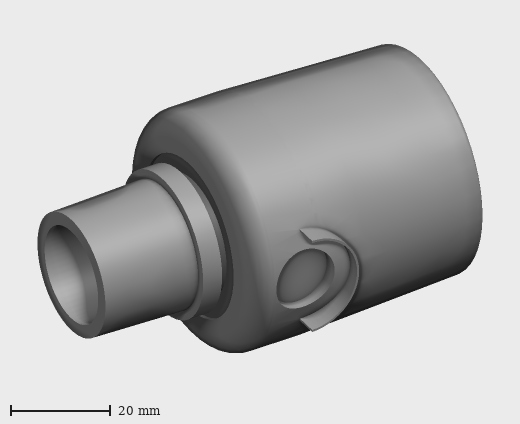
import cadquery as cq
import math

total_length = 81.9
flange_front = 21.3
flange_thickness = 4.4
body_front = 27.45
blend_start = 42.9
blend_end = 44.3

body_diameter = 51.5
body_radius = body_diameter / 2
back_radius = 24.25
front_fillet = 4.75
back_fillet = 1.0
recess_diameter = 34.9
recess_depth = 0.8

flange_diameter = 31.7
spigot_end_diameter = 26.6
spigot_base_diameter = 27.8
bore_diameter = 21.0
bore_depth = body_front

port_y = 39.3
port_diameter = 13.7
port_depth = 3.3
hood_radius = 11.0
hood_wall = 0.5
overall_width = 54.1
hood_end_x = overall_width - body_radius
hood_root_x = 22.1


def cylinder_y(diameter, start, length):
    """Solid cylinder on the Y axis, running toward +Y from start."""
    plane = cq.Workplane("XZ", origin=(0, start, 0))
    return plane.circle(diameter / 2).extrude(-length)


def cylinder_x(diameter, start, end):
    """Solid cylinder along X on the side port's axis."""
    plane = cq.Workplane("YZ", origin=(start, port_y, 0))
    return plane.circle(diameter / 2).extrude(end - start)


def make_body():
    """Rounded front, straight band, short blend and tapered rear cover."""
    taper = (body_radius - back_radius) / (total_length - blend_end)
    blend_drop = (blend_end - blend_start) * math.tan(math.atan(taper) / 2)
    profile = (
        cq.Workplane("XY")
        .moveTo(0, body_front)
        .lineTo(body_radius, body_front)
        .lineTo(body_radius, blend_start)
        .tangentArcPoint((body_radius - blend_drop, blend_end), relative=False)
        .lineTo(back_radius, total_length)
        .lineTo(0, total_length)
        .close()
    )
    body = profile.revolve(360, (0, 0, 0), (0, 1, 0))
    body = body.faces("<Y").edges().fillet(front_fillet)
    body = body.faces(">Y").edges().fillet(back_fillet)
    return body.cut(cylinder_y(recess_diameter, body_front, recess_depth))


def make_spigot():
    """Tapered tube wall, flange and the neck that enters the body recess."""
    tapered_tube = (
        cq.Workplane("XZ")
        .circle(spigot_end_diameter / 2)
        .workplane(offset=-flange_front)
        .circle(spigot_base_diameter / 2)
        .loft()
    )
    flange = cylinder_y(flange_diameter, flange_front, flange_thickness)
    neck_length = body_front + recess_depth - flange_front
    neck = cylinder_y(spigot_end_diameter, flange_front, neck_length)
    return tapered_tube.union(flange).union(neck)


def make_hood():
    """Half tube along X, closed toward +Y and open toward -Y."""
    inner_radius = hood_radius - hood_wall
    outline = (
        cq.Workplane("YZ", origin=(hood_root_x, port_y, 0))
        .moveTo(0, -hood_radius)
        .threePointArc((hood_radius, 0), (0, hood_radius))
        .lineTo(0, inner_radius)
        .threePointArc((inner_radius, 0), (0, -inner_radius))
        .close()
    )
    return outline.extrude(hood_end_x - hood_root_x)


bore = cylinder_y(bore_diameter, 0, bore_depth)
port = cylinder_x(port_diameter, body_radius - port_depth, hood_end_x)

result = make_body().union(make_spigot()).union(make_hood()).cut(bore).cut(port)